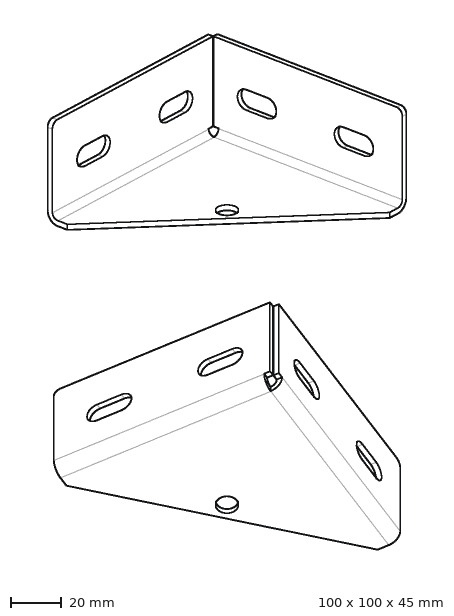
import cadquery as cq

side = 100.0
height = 45.0
thickness = 2.5
inner_bend_radius = 2.7
bend_radius = inner_bend_radius + thickness
corner_gap = 0.05
flange_start = thickness + corner_gap
free_end_width = 10.2
corner_radius = 3.0

slot_length = 20.0
slot_width = 9.0
slot_centers = (25.0, 75.0)
hole_diameter = 9.0


def make_base():
    """Flat base with its outer corner cut off diagonally."""
    outline = [
        (bend_radius, 0),
        (free_end_width, 0),
        (side, side - free_end_width),
        (side, side - bend_radius),
        (bend_radius, side - bend_radius),
    ]
    base = cq.Workplane("XY").polyline(outline).close().extrude(thickness)
    hole = cq.Workplane("XY").center(side / 2, side / 2).circle(hole_diameter / 2).extrude(thickness)
    return base.cut(hole)


def make_flange():
    """Flange and bend on the X = 0 side, with the shared corner at Y = side."""
    bend = (
        cq.Workplane("XZ")
        .moveTo(0, bend_radius)
        .radiusArc((bend_radius, 0), -bend_radius)
        .lineTo(bend_radius, thickness)
        .radiusArc((thickness, bend_radius), inner_bend_radius)
        .close()
        .extrude(-(side - bend_radius))
    )
    wall = (
        cq.Workplane("XY")
        .box(thickness, side - flange_start, height - bend_radius, centered=False)
        .translate((0, 0, bend_radius))
        .edges("|X and >Z and <Y")
        .fillet(corner_radius)
    )
    slots = (
        cq.Workplane("YZ")
        .pushPoints([(side - distance, height / 2) for distance in slot_centers])
        .slot2D(slot_length, slot_width)
        .extrude(thickness)
    )
    return wall.cut(slots).union(bend)


left_flange = make_flange()

back_flange = left_flange.mirror((1, 1, 0), (0, side, 0))

result = make_base().union(left_flange).union(back_flange)